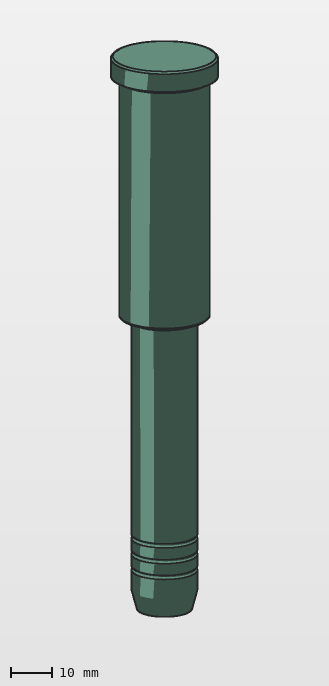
import cadquery as cq
import math

total_length = 140.0
head_height = 5.0
body_length = 61.0
nose_height = 5.0

head_radius = 13.0
body_radius = 11.0
shank_radius = 8.0

head_chamfer = 0.5
body_chamfer = 0.5
tip_fillet = 0.5

undercut_width = 1.0
undercut_depth = 0.5

nose_half_angle = 15.0

groove_radius = 0.5
shank_groove_count = 3
first_groove_z = 10.5
groove_pitch = 4.0

head_bottom = total_length - head_height
body_bottom = head_bottom - body_length
neck_bottom = body_bottom - undercut_width


def cylinder(radius, bottom, top):
    return cq.Workplane("XY").workplane(offset=bottom).circle(radius).extrude(top - bottom)


def groove_cutter(outer_radius, center_z):
    """Torus that leaves a half-round groove in a cylinder of the given radius."""
    center = cq.Vector(0, 0, center_z)
    axis = cq.Vector(0, 0, 1)
    return cq.Workplane(cq.Solid.makeTorus(outer_radius, groove_radius, center, axis))


def make_head():
    return cylinder(head_radius, head_bottom, total_length).faces(">Z").chamfer(head_chamfer)


def make_body():
    body = cylinder(body_radius, body_bottom, head_bottom).faces("<Z").chamfer(body_chamfer)
    return body.cut(groove_cutter(body_radius, head_bottom - groove_radius))


def make_neck():
    """Reduced section left by the undercut between shank and body."""
    return cylinder(shank_radius - undercut_depth, neck_bottom, body_bottom)


def make_shank():
    shank = cylinder(shank_radius, nose_height, neck_bottom)
    for index in range(shank_groove_count):
        groove_z = first_groove_z + index * groove_pitch
        shank = shank.cut(groove_cutter(shank_radius, groove_z))
    return shank


def make_nose():
    tip_radius = shank_radius - nose_height * math.tan(math.radians(nose_half_angle))
    nose = cq.Workplane(cq.Solid.makeCone(tip_radius, shank_radius, nose_height))
    return nose.faces("<Z").edges().fillet(tip_fillet)


result = make_head().union(make_body()).union(make_neck()).union(make_shank()).union(make_nose())